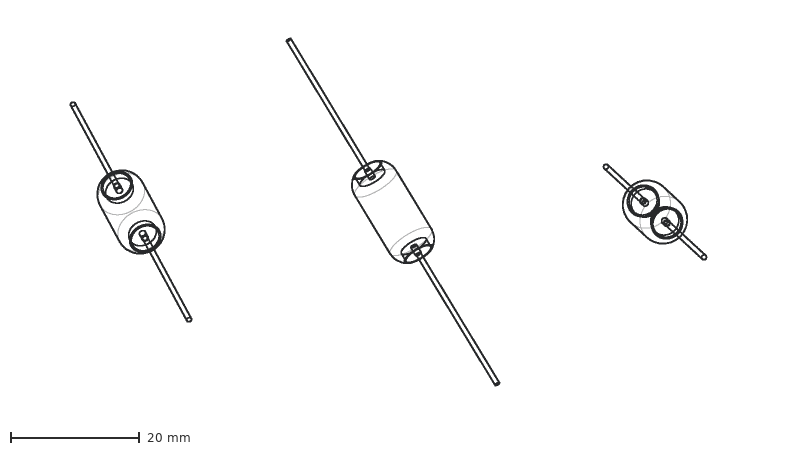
import cadquery as cq

total_length = 66.0
body_length = 16.1
body_diameter = 7.5
lead_diameter = 0.8

shoulder_length = 2.45
rim_diameter = 5.0
recess_diameter = 4.5
recess_depth = 1.5

collar_diameter = 1.0
collar_length = recess_depth

half_body = body_length / 2
body_radius = body_diameter / 2
rim_radius = rim_diameter / 2
shoulder_start = half_body - shoulder_length

shoulder_drop = body_radius - rim_radius
shoulder_radius = (shoulder_length**2 + shoulder_drop**2) / (2 * shoulder_drop)


def make_body():
    """Cylinder with rounded shoulders, revolved about X."""
    center = cq.Vector(shoulder_start, body_radius - shoulder_radius)
    to_start = cq.Vector(0, shoulder_radius)
    to_rim = cq.Vector(half_body, rim_radius) - center
    middle = center + (to_start + to_rim).normalized() * shoulder_radius
    return (
        cq.Workplane("XY")
        .moveTo(-half_body, 0)
        .lineTo(-half_body, rim_radius)
        .threePointArc((-middle.x, middle.y), (-shoulder_start, body_radius))
        .lineTo(shoulder_start, body_radius)
        .threePointArc((middle.x, middle.y), (half_body, rim_radius))
        .lineTo(half_body, 0)
        .close()
        .revolve(360, (0, 0, 0), (1, 0, 0))
    )


def make_recess(side):
    """Round pocket in the body end on the given side of X (-1 or 1)."""
    return (
        cq.Workplane("YZ", origin=(side * half_body, 0, 0))
        .circle(recess_diameter / 2)
        .extrude(-side * recess_depth)
    )


def make_collar(side):
    """Thicker lead root on the recess floor on the given side of X (-1 or 1)."""
    return (
        cq.Workplane("YZ", origin=(side * (half_body - recess_depth), 0, 0))
        .circle(collar_diameter / 2)
        .extrude(side * collar_length)
    )


def make_lead():
    """Straight round wire through the whole part."""
    return (
        cq.Workplane("YZ", origin=(-total_length / 2, 0, 0))
        .circle(lead_diameter / 2)
        .extrude(total_length)
    )


body = make_body()
for side in (-1, 1):
    body = body.cut(make_recess(side)).union(make_collar(side))
result = body.union(make_lead())